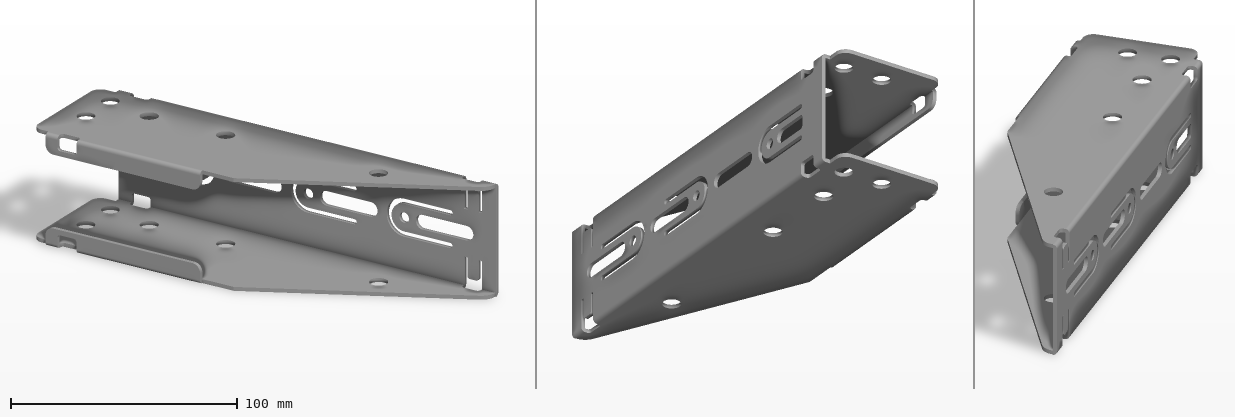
import cadquery as cq


length = 207.0
depth = 60.0
height = 54.0
sheet = 1.9
bend_radius = 1.9
half_height = height / 2
eps = 0.02

web_start = 9.7
back_notch = 4.3
front_notch = 2.5
plate_corner_radius = 5.0
taper_start = 105.5
tip_end = 206.5
tip_depth = 6.5
tip_radius = 7.2

lip_start = 8.5
lip_end = 89.2
lip_height = 9.3
lip_corner_radius = 4.0

window_radius = 1.5
lip_window_start = 14.7
lip_window_length = 10.0
lip_window_plate_depth = 3.7
lip_window_height = 6.8
web_window_start = 16.5
web_window_length = 10.0
web_window_height = 6.5
tab_window_start = 190.2
tab_window_length = 9.3
tab_window_height = 15.5
tab_window_radius = 0.5
tab_width = 5.5
tab_top_gap = 5.4
tab_radius = 1.0

hole_pitch = 40.0
row_hole_x = 36.6
row_hole_depth = 19.0
row_hole_diameter = 8.5
row_hole_steps = (0, 1, 3)
end_hole_x = 13.0
end_hole_depth = 13.9
end_hole_spacing = 20.0
end_hole_diameter = 8.3

slot_pitch = 50.0
slot_length = 30.0
slot_width = 7.0
slot_center_x = 80.0
full_slot_count = 3
short_slot_start = 25.3
short_slot_end = 45.1
short_slot_corner = 1.5
tongue_hole_diameter = 5.0
tongue_slot_radius = 7.9
tongue_slot_width = 2.5
tongue_reach = 25.3
tongue_leg = tongue_reach - tongue_slot_width / 2
left_tongue_x = 51.0
right_tongue_x = 108.9
right_tongue_count = 2


def channel():
    """C-shaped section with rounded bends, running the full length."""
    outer = (
        cq.Workplane("XY")
        .box(length, depth, height, centered=(False, False, True))
        .translate((0, -depth, 0))
        .edges("|X")
        .fillet(bend_radius)
    )
    inner = (
        cq.Workplane("XY")
        .box(length, depth - 2 * sheet, height - 2 * sheet, centered=(False, False, True))
        .translate((0, sheet - depth, 0))
    )
    mouth = (
        cq.Workplane("XY")
        .box(length, 2 * sheet, height - 2 * lip_height, centered=(False, True, True))
        .translate((0, -depth, 0))
    )
    return outer.cut(inner).cut(mouth)


def plan_blank():
    """Block with the plan outline of the plates, web and lips."""
    plate_front = bend_radius - depth
    points = [
        (web_start, 0),
        (web_start, -back_notch),
        (0, -back_notch),
        (0, front_notch - depth),
        (lip_start, front_notch - depth),
        (lip_start, -depth),
        (lip_end, -depth),
        (lip_end, plate_front),
        (taper_start, plate_front),
        (tip_end, -tip_depth),
        (tip_end, -sheet),
        (length, -sheet),
        (length, 0),
    ]
    blank = cq.Workplane("XY").polyline(points).close().extrude(half_height, both=True)
    blank = blank.faces("<X").edges("|Z").fillet(plate_corner_radius)
    tip = cq.selectors.NearestToPointSelector((tip_end, -tip_depth, 0))
    return blank.edges("|Z").edges(tip).fillet(tip_radius)


def round_lips(body):
    """Round the free corners of both lips."""
    lip_zone = cq.selectors.BoxSelector(
        (lip_start - eps, -depth, -half_height),
        (lip_end + eps, bend_radius - depth, half_height),
    )
    return body.edges("|Y").edges(lip_zone).fillet(lip_corner_radius)


def edge_block(start, width, reach, outer_y, outer_z, axis, radius):
    """Block centred on an outer corner line, with its edges along axis rounded."""
    reach_y, reach_z = reach
    return (
        cq.Workplane("XY")
        .box(width, 2 * reach_y, 2 * reach_z)
        .edges("|" + axis)
        .fillet(radius)
        .translate((start + width / 2, outer_y, outer_z))
    )


def bend_window(start, width, plate_depth, wall_height, outer_y, side, wall_radius):
    """Window through a bend: one cut in the plate and one in the wall next to it."""
    outer_z = side * half_height
    in_plate = edge_block(start, width, (plate_depth, sheet), outer_y, outer_z, "Z", window_radius)
    in_wall = edge_block(start, width, (sheet, wall_height), outer_y, outer_z, "Y", wall_radius)
    return in_plate.union(in_wall)


def tab_window(side):
    """Window at the tip, leaving a tab of the web standing in it."""
    window = bend_window(
        tab_window_start, tab_window_length, back_notch, tab_window_height, 0, side, tab_window_radius
    )
    tab_height = tab_window_height - tab_top_gap
    tab_start = tab_window_start + (tab_window_length - tab_width) / 2
    tab = (
        cq.Workplane("XY")
        .box(tab_width, 2 * sheet, 2 * tab_height)
        .edges("|Y")
        .fillet(tab_radius)
        .translate((tab_start + tab_width / 2, 0, side * (half_height - tab_window_height)))
    )
    return window.cut(tab)


def plate_holes():
    """Round holes through both plates."""
    row = [(row_hole_x + step * hole_pitch, -row_hole_depth) for step in row_hole_steps]
    ends = [(end_hole_x, -end_hole_depth), (end_hole_x, -end_hole_depth - end_hole_spacing)]
    plane = cq.Workplane("XY")
    row_cut = plane.pushPoints(row).circle(row_hole_diameter / 2).extrude(half_height, both=True)
    end_cut = plane.pushPoints(ends).circle(end_hole_diameter / 2).extrude(half_height, both=True)
    return row_cut.union(end_cut)


def web_slots():
    """Long slots along the web, the first one shortened with a squared-off end."""
    centers = [(slot_center_x + i * slot_pitch, 0) for i in range(full_slot_count)]
    slots = (
        cq.Workplane("XZ")
        .pushPoints(centers)
        .slot2D(slot_length, slot_width)
        .extrude(2 * sheet, both=True)
    )
    short_slot = (
        cq.Workplane("XY")
        .box(short_slot_end - short_slot_start, 4 * sheet, slot_width, centered=(False, True, True))
        .translate((short_slot_start, 0, 0))
        .faces("<X")
        .edges("|Y")
        .fillet(short_slot_corner)
        .faces(">X")
        .edges("|Y")
        .fillet(slot_width / 2 - eps)
    )
    return slots.union(short_slot)


def tongue(x, leg_direction):
    """U-shaped slot around a small hole; its legs run toward leg_direction along X."""
    leg_end = x + leg_direction * tongue_leg
    path = (
        cq.Workplane("XZ")
        .moveTo(leg_end, tongue_slot_radius)
        .lineTo(x, tongue_slot_radius)
        .threePointArc((x - leg_direction * tongue_slot_radius, 0), (x, -tongue_slot_radius))
        .lineTo(leg_end, -tongue_slot_radius)
    )
    groove = path.offset2D(tongue_slot_width / 2).extrude(2 * sheet, both=True)
    hole = cq.Workplane("XZ").center(x, 0).circle(tongue_hole_diameter / 2)
    return groove.union(hole.extrude(2 * sheet, both=True))


result = round_lips(channel().intersect(plan_blank()))

for side in (1, -1):
    lip_window = bend_window(
        lip_window_start, lip_window_length, lip_window_plate_depth,
        lip_window_height, -depth, side, window_radius,
    )
    web_window = bend_window(
        web_window_start, web_window_length, back_notch, web_window_height, 0, side, window_radius
    )
    result = result.cut(lip_window).cut(web_window).cut(tab_window(side))

result = result.cut(plate_holes()).cut(web_slots()).cut(tongue(left_tongue_x, -1))
for i in range(right_tongue_count):
    result = result.cut(tongue(right_tongue_x + i * slot_pitch, 1))